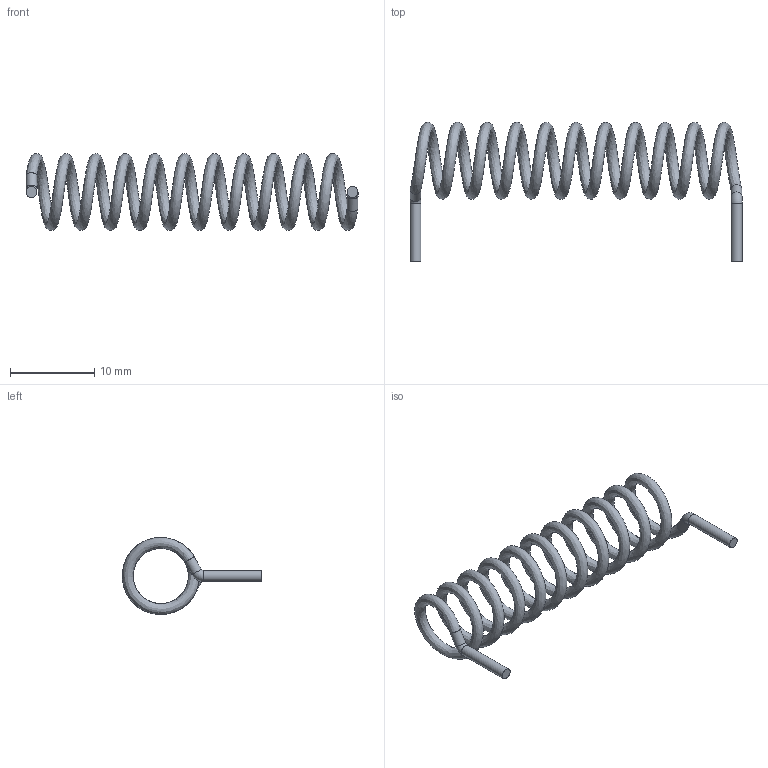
import cadquery as cq
import math

wire_diameter = 1.29
coil_outer_diameter = 9.14
leg_spacing = 38.1
leg_reach = 11.97
full_turns = 10
end_angle = 30.0
bend_radius = 0.95

wire_radius = wire_diameter / 2
coil_radius = (coil_outer_diameter - wire_diameter) / 2
turns = full_turns + (360.0 - 2 * end_angle) / 360.0
pitch = leg_spacing / turns
start_x = -leg_spacing / 2

cos_end = math.cos(math.radians(end_angle))
sin_end = math.sin(math.radians(end_angle))
start_radial = cq.Vector(0, -cos_end, sin_end)
start_tangent = cq.Vector(0, sin_end, cos_end)
coil_start = cq.Vector(start_x, 0, 0) + start_radial * coil_radius


def wire_section():
    """Round wire section at the start of the coil, shared by the coil and its tail."""
    return cq.Workplane(cq.Plane(coil_start, (1, 0, 0), start_tangent)).circle(wire_radius)


def make_coil():
    """Helical part of the spring; the section stays square to the circular tangent."""
    coil_plane = cq.Plane((start_x, 0, 0), start_radial, (1, 0, 0))
    helix = cq.Wire.makeHelix(pitch, leg_spacing, coil_radius, lefthand=True)
    return wire_section().sweep(cq.Workplane(helix.moved(coil_plane.location)), isFrenet=True)


def make_tail():
    """Straight tangent run, rounded bend and straight leg at the -X end of the coil."""
    bend_turn = math.radians(90.0 - end_angle)
    bend_setback = bend_radius * math.tan(bend_turn / 2)
    corner = cq.Vector(start_x, -coil_radius / cos_end, 0)
    bend_start = corner + start_tangent * bend_setback
    leg_start = corner - cq.Vector(0, bend_setback, 0)
    leg_tip = cq.Vector(start_x, -leg_reach, 0)
    path = cq.Wire.assembleEdges([
        cq.Edge.makeLine(coil_start, bend_start),
        cq.Edge.makeTangentArc(bend_start, start_tangent * -1, leg_start),
        cq.Edge.makeLine(leg_start, leg_tip),
    ])
    return wire_section().sweep(cq.Workplane(path))


start_tail = make_tail()
end_tail = start_tail.rotate((0, 0, 0), (0, 1, 0), 180)
result = make_coil().union(start_tail).union(end_tail)